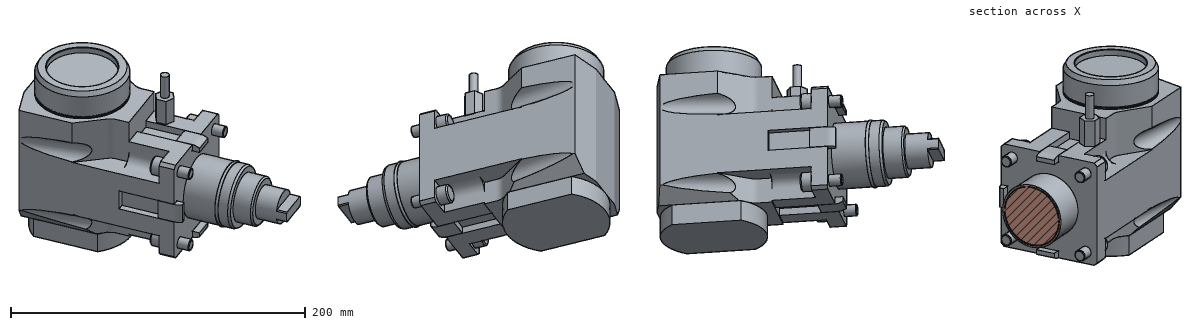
import cadquery as cq
import math


half_width = 37.5
housing_top = 53.0
housing_bottom = -38.7
front_x = -36.5
front_flat_half_width = 15.5
front_corner_x = -30.5
waist_start_x = 9.1
waist_angle = 36.0
waist_fillet = 10.0
housing_back_x = 44.0
lower_bevel_width = 9.6
lower_bevel_height = 11.3

arm_half_width = 21.2
flange_front_x = 73.8
flange_back_x = 85.0
flange_corner_chamfer = 2.3

bolt_offset = 28.75
bolt_head_dia = 13.0
bolt_head_length = 8.2
bolt_head_chamfer = 1.0
bolt_dia = 8.0
bolt_tip_x = 93.7
bolt_tip_chamfer = 0.6
access_offset = 29.2
access_radius = 7.8
access_tilt = 9.1
access_end_x = 30.0
access_length = 90.0

slot_width = 14.5
slot_depth = 5.0
key_width = 14.0
key_start_x = 72.9
key_end_x = 90.2
key_nose_mid_x = 88.0
key_nose_mid_drop = 0.6
key_nose_end_drop = 1.8

nut_dia = 64.8
nut_collar_dia = 65.0
nut_collar_top = 53.8
nut_neck_dia = 63.0
nut_bottom = 54.5
nut_top = 74.0
nut_chamfer_height = 3.5
nut_chamfer_width = 2.0
nut_recess_dia = 49.0
nut_recess_depth = 4.5
nut_recess_chamfer = 0.4
base_radius = -front_x
base_flat_half_width = 27.7
base_bottom = -53.0

pilot_dia = 45.0
pilot_end_x = 119.8
pilot_chamfer_length = 1.8
pilot_chamfer_height = 0.9
seal_x = 109.6
seal_groove_width = 2.3
seal_groove_dia = 42.0
seal_outer_dia = 46.39
seal_cord_radius = 1.15
collar_dia = 35.0
collar_end_x = 133.9
collar_chamfer = 1.2
shaft_dia = 24.0
shaft_end_x = 149.5
tang_thickness = 8.0
tang_end_x = 157.0
tang_chamfer = 1.2

fitting_x = 54.9
fitting_y = 14.6
fitting_hex_flats = 12.0
fitting_hex_top = 56.2
fitting_pin_dia = 6.0
fitting_pin_top = 73.3


def x_cylinder(diameter, start, end, y=0.0, z=0.0):
    """Cylinder along X between two X positions."""
    return cq.Workplane("YZ", origin=(start, y, z)).circle(diameter / 2).extrude(end - start)


def span_box(x_range, y_range, z_range):
    """Box between the given limits on each axis."""
    corner = (x_range[0], y_range[0], z_range[0])
    size = (x_range[1] - x_range[0], y_range[1] - y_range[0], z_range[1] - z_range[0])
    return cq.Workplane("XY").box(*size, centered=False).translate(corner)


def make_housing():
    """Upright housing that narrows behind the spindle, with two bevelled lower edges."""
    waist_x = waist_start_x + (half_width - arm_half_width) / math.tan(math.radians(waist_angle))
    outline = [
        (front_x, front_flat_half_width),
        (front_corner_x, half_width),
        (waist_start_x, half_width),
        (waist_x, arm_half_width),
        (housing_back_x, arm_half_width),
    ]
    mirrored = [(x, -y) for x, y in reversed(outline)]
    height = housing_top - housing_bottom
    waist_corners = cq.selectors.BoxSelector(
        (waist_x - 1, -half_width, housing_bottom), (waist_x + 1, half_width, housing_top)
    )
    housing = (
        cq.Workplane("XY", origin=(0, 0, housing_bottom))
        .polyline(outline + mirrored)
        .close()
        .extrude(height)
        .edges("|Z")
        .edges(waist_corners)
        .fillet(waist_fillet)
    )
    for side in (-1, 1):
        bevel = (
            cq.Workplane("YZ", origin=(front_x, 0, 0))
            .moveTo(side * half_width, housing_bottom)
            .lineTo(side * (half_width - lower_bevel_width), housing_bottom)
            .lineTo(side * half_width, housing_bottom + lower_bevel_height)
            .close()
            .extrude(housing_back_x - front_x)
        )
        housing = housing.cut(bevel)
    return housing


def make_side_arms():
    """Horizontal slab that joins the full-width front of the housing to the flange."""
    return span_box(
        (front_corner_x, flange_back_x), (-half_width, half_width), (-arm_half_width, arm_half_width)
    )


def make_upright_arms():
    """Vertical slab behind the housing."""
    return span_box(
        (housing_back_x, flange_back_x), (-arm_half_width, arm_half_width), (-half_width, half_width)
    )


def make_pocket_fillets():
    """Concave fillets in the four inner corners of the cross, concentric with the bolts."""
    leg = bolt_offset - arm_half_width
    block = span_box(
        (housing_back_x, flange_back_x), (-bolt_offset, bolt_offset), (-bolt_offset, bolt_offset)
    )
    for y_side in (-1, 1):
        for z_side in (-1, 1):
            clearance = x_cylinder(
                2 * leg, housing_back_x, flange_back_x, y_side * bolt_offset, z_side * bolt_offset
            )
            block = block.cut(clearance)
    return block


def make_flange():
    """Square mounting flange with chamfered corners."""
    flange = span_box((flange_front_x, flange_back_x), (-half_width, half_width), (-half_width, half_width))
    return flange.edges("|X").chamfer(flange_corner_chamfer)


def make_access_bore(y_side, z_side):
    """Tilted screwdriver passage that points at one bolt head."""
    tilt = math.radians(access_tilt)
    target_y = bolt_offset + (flange_front_x - access_end_x) * math.tan(tilt)
    direction = cq.Vector(-math.cos(tilt), y_side * math.sin(tilt), 0)
    start = cq.Vector(access_end_x, y_side * target_y, z_side * access_offset)
    return cq.Workplane(cq.Solid.makeCylinder(access_radius, access_length, start, direction))


def make_bolt(y, z):
    """Cap screw with its head against the flange and its tip behind it."""
    head = x_cylinder(bolt_head_dia, flange_front_x - bolt_head_length, flange_front_x, y, z)
    shank = x_cylinder(bolt_dia, flange_front_x, bolt_tip_x, y, z)
    head = head.faces("<X").edges().chamfer(bolt_head_chamfer)
    return head.union(shank.faces(">X").edges().chamfer(bolt_tip_chamfer))


def make_slot():
    """Key slot in the top face, open at the back of the flange."""
    return span_box(
        (housing_back_x, flange_back_x),
        (-slot_width / 2, slot_width / 2),
        (half_width - slot_depth, half_width),
    )


def make_key():
    """Locating key in the top slot, flush with the flange and with a rounded nose behind it."""
    return (
        cq.Workplane("XZ", origin=(0, key_width / 2, 0))
        .moveTo(key_start_x, half_width - slot_depth)
        .lineTo(key_start_x, half_width)
        .lineTo(flange_back_x, half_width)
        .threePointArc(
            (key_nose_mid_x, half_width - key_nose_mid_drop),
            (key_end_x, half_width - key_nose_end_drop),
        )
        .lineTo(key_end_x, half_width - slot_depth)
        .close()
        .extrude(key_width)
    )


def make_nut():
    """Spindle nut with a collar, a bevelled rim and a shallow round recess."""
    radius = nut_dia / 2
    recess_radius = nut_recess_dia / 2
    recess_floor = nut_top - nut_recess_depth
    profile = [
        (0, housing_top),
        (nut_collar_dia / 2, housing_top),
        (nut_collar_dia / 2, nut_collar_top),
        (nut_neck_dia / 2, nut_collar_top),
        (nut_neck_dia / 2, nut_bottom),
        (radius, nut_bottom),
        (radius, nut_top - nut_chamfer_height),
        (radius - nut_chamfer_width, nut_top),
        (recess_radius + nut_recess_chamfer, nut_top),
        (recess_radius, nut_top - nut_recess_chamfer),
        (recess_radius, recess_floor),
        (0, recess_floor),
    ]
    return cq.Workplane("XZ").polyline(profile).close().revolve(360, (0, 0, 0), (0, 1, 0))


def make_base():
    """Round base under the housing with two parallel flats."""
    height = housing_bottom - base_bottom
    base = cq.Workplane("XY", origin=(0, 0, base_bottom)).circle(base_radius).extrude(height)
    flats = span_box(
        (-base_radius, base_radius),
        (-base_flat_half_width, base_flat_half_width),
        (base_bottom, housing_bottom),
    )
    return base.intersect(flats)


def make_drive_shaft():
    """Stepped shaft with a seal ring on the pilot and a flat driving tang at the end."""
    pilot = pilot_dia / 2
    collar = collar_dia / 2
    groove = seal_groove_dia / 2
    profile = [
        (flange_back_x, 0),
        (flange_back_x, pilot),
        (seal_x - seal_groove_width / 2, pilot),
        (seal_x - seal_groove_width / 2, groove),
        (seal_x + seal_groove_width / 2, groove),
        (seal_x + seal_groove_width / 2, pilot),
        (pilot_end_x - pilot_chamfer_length, pilot),
        (pilot_end_x, pilot - pilot_chamfer_height),
        (pilot_end_x, collar),
        (collar_end_x - collar_chamfer, collar),
        (collar_end_x, collar - collar_chamfer),
        (collar_end_x, shaft_dia / 2),
        (shaft_end_x, shaft_dia / 2),
        (shaft_end_x, 0),
    ]
    shaft = cq.Workplane("XY").polyline(profile).close().revolve(360, (0, 0, 0), (1, 0, 0))
    seal = cq.Workplane(
        cq.Solid.makeTorus(
            seal_outer_dia / 2 - seal_cord_radius,
            seal_cord_radius,
            cq.Vector(seal_x, 0, 0),
            cq.Vector(1, 0, 0),
        )
    )
    tang = span_box(
        (shaft_end_x, tang_end_x),
        (-shaft_dia / 2, shaft_dia / 2),
        (-tang_thickness / 2, tang_thickness / 2),
    )
    tang = tang.edges("|X").chamfer(tang_chamfer).intersect(x_cylinder(shaft_dia, shaft_end_x, tang_end_x))
    return shaft.union(seal).union(tang)


def make_fitting():
    """Hexagonal coolant fitting with a round pin on top."""
    hexagon = (
        cq.Workplane("XY", origin=(fitting_x, fitting_y, half_width))
        .polygon(6, fitting_hex_flats / math.cos(math.pi / 6))
        .extrude(fitting_hex_top - half_width)
    )
    pin = (
        cq.Workplane("XY", origin=(fitting_x, fitting_y, fitting_hex_top))
        .circle(fitting_pin_dia / 2)
        .extrude(fitting_pin_top - fitting_hex_top)
    )
    return hexagon.union(pin)


body = make_housing().union(make_side_arms())

for y_sign in (-1, 1):
    for z_sign in (-1, 1):
        body = body.cut(make_access_bore(y_sign, z_sign))

body = body.union(make_upright_arms()).union(make_pocket_fillets()).union(make_flange())

for turn in (0, 90, 180):
    body = body.cut(make_slot().rotate((0, 0, 0), (1, 0, 0), turn))
    body = body.union(make_key().rotate((0, 0, 0), (1, 0, 0), turn))

for y_sign in (-1, 1):
    for z_sign in (-1, 1):
        body = body.union(make_bolt(y_sign * bolt_offset, z_sign * bolt_offset))

for attachment in (make_nut(), make_base(), make_drive_shaft(), make_fitting()):
    body = body.union(attachment)

result = body